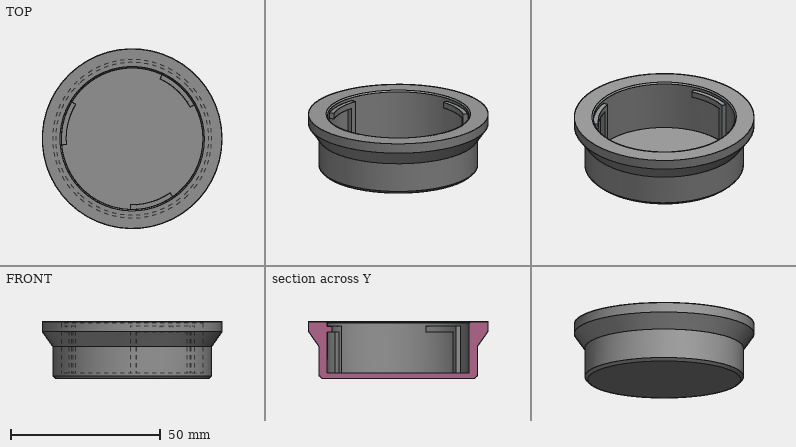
import cadquery as cq
import math

height = 19.0
flange_radius = 30.0
barrel_diameter = 53.0
barrel_radius = barrel_diameter / 2
bore_diameter = 47.2
bore_radius = bore_diameter / 2
floor_thickness = 2.0
foot_chamfer = 0.95
flare_bottom = 10.75
flange_bottom = 15.7
mouth_chamfer = 0.5

lug_count = 3
lug_start_angle = 28.7
lug_sweep = 36.3
lug_inner_radius = 22.0
lug_top = 17.5
lug_thickness = 2.0
leg_width = 1.85
wall_overlap = 0.6


def make_cup():
    """Revolve the flanged cup, then bevel the mouth of its bore."""
    profile = [
        (0, 0),
        (barrel_radius - foot_chamfer, 0),
        (barrel_radius, foot_chamfer),
        (barrel_radius, flare_bottom),
        (flange_radius, flange_bottom),
        (flange_radius, height),
        (bore_radius + mouth_chamfer, height),
        (bore_radius, height - mouth_chamfer),
        (bore_radius, floor_thickness),
        (0, floor_thickness),
    ]
    return cq.Workplane("XZ").polyline(profile).close().revolve(360, (0, 0), (0, 1))


def polar(radius, degrees):
    angle = math.radians(degrees)
    return radius * math.cos(angle), radius * math.sin(angle)


def wall_segment(start, sweep, bottom, top):
    """Ring segment with radial ends that stands in from the bore wall."""
    outer = bore_radius + wall_overlap
    middle = start + sweep / 2
    end = start + sweep
    return (
        cq.Workplane("XY", origin=(0, 0, bottom))
        .moveTo(*polar(lug_inner_radius, start))
        .lineTo(*polar(outer, start))
        .threePointArc(polar(outer, middle), polar(outer, end))
        .lineTo(*polar(lug_inner_radius, end))
        .threePointArc(polar(lug_inner_radius, middle), polar(lug_inner_radius, start))
        .close()
        .extrude(top - bottom)
    )


def make_lug(start):
    """Ledge along the wall, with a leg down to the floor at its start."""
    leg_sweep = math.degrees(leg_width / lug_inner_radius)
    ledge = wall_segment(start, lug_sweep, lug_top - lug_thickness, lug_top)
    leg = wall_segment(start, leg_sweep, floor_thickness, lug_top)
    return ledge.union(leg)


result = make_cup()
for index in range(lug_count):
    result = result.union(make_lug(lug_start_angle + index * 360 / lug_count))